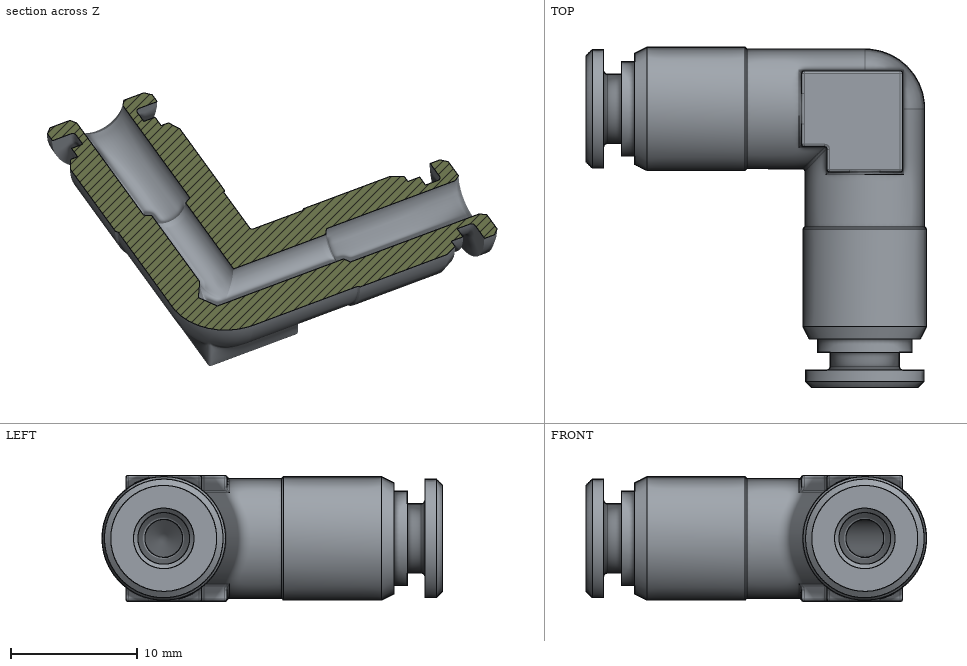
import cadquery as cq
import math


branch_length = 22.1
pad_height = 5.0

body_radius = 4.75
sleeve_radius = 4.9
sleeve_nose_radius = 4.4
collar_radius = 3.75
neck_radius = 2.75
neck_fillet_radius = 0.3
flange_radius = 4.7
flange_face_radius = 4.2

flange_chamfer_depth = 0.5
flange_end = 1.4
neck_end = 2.8
collar_end = 3.85
sleeve_nose_end = 4.85
sleeve_end = 12.75
sleeve_rear_chamfer = sleeve_radius - body_radius

tube_radius = 2.05
tube_mouth_radius = 2.4
tube_mouth_depth = 0.5
tube_depth = 12.0
passage_radius = 1.5
drill_half_angle = math.radians(59)

pad_half_width = 3.0
pad_reach = 5.0
edge_radius = 0.2


def turned_along_x(profile):
    """Revolve a closed half profile of (x, radius) points about the X axis."""
    return cq.Workplane("XY").polyline(profile).close().revolve(360, (0, 0, 0), (1, 0, 0))


def second_branch(solid):
    """Turn a solid on the -X branch over onto the -Y branch."""
    return solid.rotate((0, 0, 0), (0, 0, 1), 90)


def elbow_body():
    """Two plain cylinders joined by a ball that rounds the outer corner."""
    body_length = branch_length - sleeve_end
    arm = cq.Workplane("YZ").circle(body_radius).extrude(-body_length)
    ball = cq.Workplane("XY").sphere(body_radius)
    return arm.union(second_branch(arm)).union(ball)


def marking_pads():
    """L-shaped block that shows as a pad above and below the elbow."""
    outline = [
        (pad_half_width, pad_half_width),
        (-pad_reach, pad_half_width),
        (-pad_reach, -pad_half_width),
        (-pad_half_width, -pad_half_width),
        (-pad_half_width, -pad_reach),
        (pad_half_width, -pad_reach),
    ]
    return cq.Workplane("XY").polyline(outline).close().extrude(pad_height, both=True)


def rounded(body):
    """Round every inside edge of the padded elbow, then every outside edge of the pads."""
    near = -pad_half_width + edge_radius
    far = -pad_half_width - 2 * edge_radius
    pad_notch = cq.selectors.BoxSelector((far, far, -pad_height), (near, near, pad_height))

    pad_walls = body.faces("(|X or |Y) and (not (<X or <Y))")
    pad_roots = pad_walls.edges("not (|Z or >Z or <Z)").vals()
    notch_edges = body.edges("|Z").edges(pad_notch).vals()
    arm_joint = body.edges("%ELLIPSE").vals()
    body = body.newObject(pad_roots + notch_edges + arm_joint).fillet(edge_radius)

    pad_corners = body.edges("|Z").edges(-pad_notch).vals()
    pad_rims = body.faces(">Z or <Z").edges().vals()
    return body.newObject(pad_corners + pad_rims).fillet(edge_radius)


def end_fitting():
    """Sleeve, collar, neck and release flange at the end of the -X branch."""
    tip = -branch_length
    fitting = turned_along_x([
        (tip, 0),
        (tip, flange_face_radius),
        (tip + flange_chamfer_depth, flange_radius),
        (tip + flange_end, flange_radius),
        (tip + flange_end, neck_radius),
        (tip + neck_end, neck_radius),
        (tip + neck_end, collar_radius),
        (tip + collar_end, collar_radius),
        (tip + collar_end, sleeve_nose_radius),
        (tip + sleeve_nose_end, sleeve_radius),
        (tip + sleeve_end - sleeve_rear_chamfer, sleeve_radius),
        (tip + sleeve_end, body_radius),
        (tip + sleeve_end, 0),
    ])
    root_x = tip + flange_end
    reach = neck_radius + neck_fillet_radius
    neck_root = cq.selectors.BoxSelector(
        (root_x - neck_fillet_radius, -reach, -reach),
        (root_x + neck_fillet_radius, reach, reach),
        boundingbox=True,
    )
    return fitting.edges(neck_root).fillet(neck_fillet_radius)


def drill_point_depth(radius):
    """Length of the cone that a drill of the given radius leaves."""
    return radius / math.tan(drill_half_angle)


def tube_socket():
    """Chamfered tube socket in the -X branch, with a drilled conical floor."""
    tip = -branch_length
    return turned_along_x([
        (tip, 0),
        (tip, tube_mouth_radius),
        (tip + tube_mouth_depth, tube_radius),
        (tip + tube_depth, tube_radius),
        (tip + tube_depth + drill_point_depth(tube_radius), 0),
    ])


def flow_passages():
    """Passage along X with a conical drilled end, met at the corner by the one along Y."""
    start = -branch_length
    along_x = turned_along_x([
        (start, 0),
        (start, passage_radius),
        (passage_radius, passage_radius),
        (passage_radius + drill_point_depth(passage_radius), 0),
    ])
    along_y = cq.Workplane("XZ").circle(passage_radius).extrude(branch_length)
    return along_x.union(along_y)


body = rounded(elbow_body().union(marking_pads()))
fitting = end_fitting()
socket = tube_socket()
result = (
    body
    .union(fitting)
    .union(second_branch(fitting))
    .cut(socket)
    .cut(second_branch(socket))
    .cut(flow_passages())
)